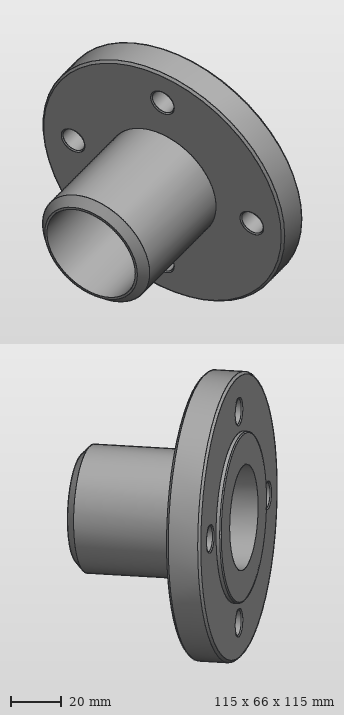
import cadquery as cq

flange_diameter = 115.0
flange_thickness = 14.0
flange_chamfer = 1.0

raised_face_diameter = 68.0
raised_face_height = 2.0
raised_face_chamfer = 0.5

bolt_hole_diameter = 10.25
bolt_hole_chamfer = 0.5
bolt_circle_diameter = 85.0
bolt_count = 4

pipe_diameter = 51.0
bore_diameter = 42.0
pipe_projection = 50.0
socket_depth = 3.0
weld_land = 1.0

flange_radius = flange_diameter / 2
raised_face_radius = raised_face_diameter / 2
pipe_radius = pipe_diameter / 2
bore_radius = bore_diameter / 2
land_radius = bore_radius + weld_land
weld_bevel = pipe_radius - land_radius

flange_front_y = -flange_thickness
socket_floor_y = flange_front_y + socket_depth
pipe_end_y = flange_front_y - pipe_projection


def revolve_about_y(points):
    """Revolve a closed (radius, y) profile a full turn about the Y axis."""
    return cq.Workplane("XY").polyline(points).close().revolve(360, (0, 0, 0), (0, 1, 0))


def bolt_hole_cutter():
    """Through hole on the flange axis, chamfered at both flange faces."""
    hole_radius = bolt_hole_diameter / 2
    rim_radius = hole_radius + bolt_hole_chamfer
    return revolve_about_y([
        (0, 0),
        (rim_radius, 0),
        (hole_radius, -bolt_hole_chamfer),
        (hole_radius, flange_front_y + bolt_hole_chamfer),
        (rim_radius, flange_front_y),
        (0, flange_front_y),
    ])


def make_flange():
    """Disc with a raised back face, a bore, a pipe socket in front and bolt holes."""
    flange = revolve_about_y([
        (bore_radius, raised_face_height),
        (raised_face_radius - raised_face_chamfer, raised_face_height),
        (raised_face_radius, raised_face_height - raised_face_chamfer),
        (raised_face_radius, 0),
        (flange_radius - flange_chamfer, 0),
        (flange_radius, -flange_chamfer),
        (flange_radius, flange_front_y + flange_chamfer),
        (flange_radius - flange_chamfer, flange_front_y),
        (pipe_radius, flange_front_y),
        (pipe_radius, socket_floor_y),
        (bore_radius, socket_floor_y),
    ])
    first_hole = bolt_hole_cutter().translate((bolt_circle_diameter / 2, 0, 0))
    for index in range(bolt_count):
        angle = index * 360 / bolt_count
        flange = flange.cut(first_hole.rotate((0, 0, 0), (0, 1, 0), angle))
    return flange


def make_pipe():
    """Tube from the socket floor to a front end with a weld bevel and a narrow land."""
    return revolve_about_y([
        (bore_radius, socket_floor_y),
        (pipe_radius, socket_floor_y),
        (pipe_radius, pipe_end_y + weld_bevel),
        (land_radius, pipe_end_y),
        (bore_radius, pipe_end_y),
    ])


flange = make_flange()
pipe = make_pipe()

result = cq.Compound.makeCompound([flange.val(), pipe.val()])